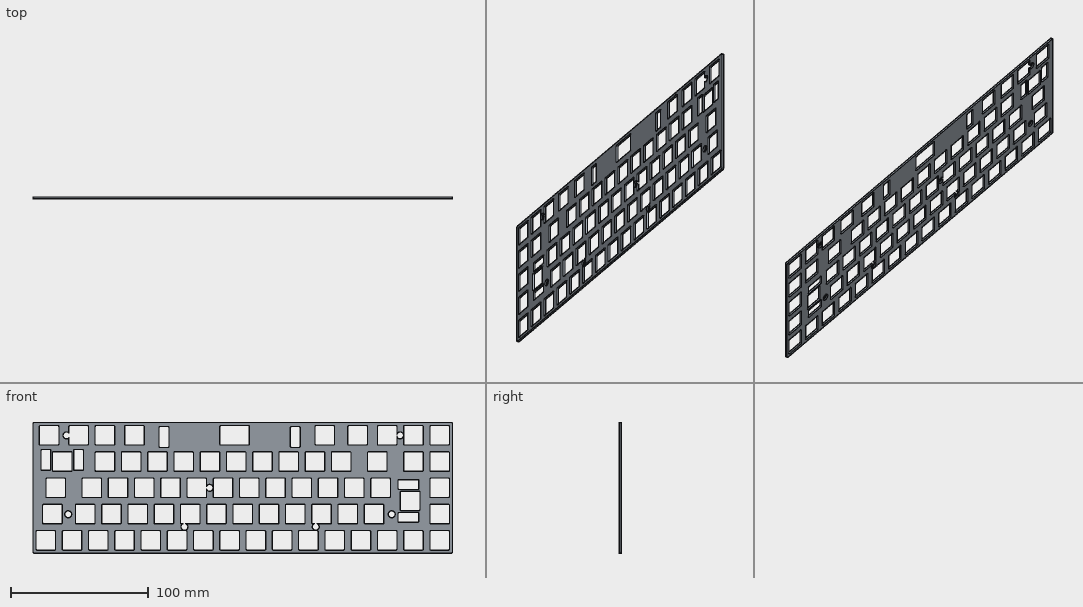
import cadquery as cq

PLATE_LENGTH = 304.5
PLATE_HEIGHT = 95.0
PLATE_THICKNESS = 1.5
PLATE_CORNER_RADIUS = 1.0

COLUMNS = 16
ROWS = 5
GRID_OVERHANG = 0.198
KEY_PITCH = (PLATE_LENGTH + 2 * GRID_OVERHANG) / COLUMNS

SWITCH_SIZE = 14.0
CUTOUT_CORNER_RADIUS = 0.5
STABILIZER_WIDTH = 7.0
STABILIZER_LENGTH = 15.0
STABILIZER_SHIFT = 1.2
MOUNT_HOLE_DIAMETER = 5.0

SHORT_STABILIZER_REACH = 12.0
SPACEBAR_STABILIZER_REACH = 2.5 * KEY_PITCH

BOTTOM_ROW, SECOND_ROW, THIRD_ROW, FOURTH_ROW, TOP_ROW = range(ROWS)
LAST_COLUMN = COLUMNS - 0.5
LEFT_SHIFT_COLUMN = 1.125
SPACEBAR_COLUMN = 7.5
SPACEBAR_ALTERNATE_COLUMN = 7.875
ENTER_COLUMN = 14.375
ENTER_ROW = (SECOND_ROW + THIRD_ROW) / 2


def key_run(first, count):
    """Columns of a run of neighbouring single-width keys."""
    return [first + step for step in range(count)]


KEY_COLUMNS = {
    BOTTOM_ROW: key_run(0.5, COLUMNS),
    SECOND_ROW: [0.75] + key_run(2, 12) + [LAST_COLUMN],
    THIRD_ROW: [0.875] + key_run(2.25, 12) + [LAST_COLUMN],
    FOURTH_ROW: [LEFT_SHIFT_COLUMN] + key_run(2.75, 10) + [13.125, LAST_COLUMN - 1, LAST_COLUMN],
    TOP_ROW: [0.625, 1.75, 2.75, 3.875, 11.125, 12.375] + key_run(13.5, 3),
}

MOUNT_HOLES = [
    (-126.5, -19.2),
    (108.0, -19.2),
    (-24.0, 0),
    (-42.3, -28.3),
    (53.0, -28.3),
    (-128.0, 38.0),
    (114.2, 38.0),
]


def key_x(column):
    return (column - COLUMNS / 2) * KEY_PITCH


def key_z(row):
    return (row - (ROWS - 1) / 2) * KEY_PITCH


def rounded_block(x, z, width, height, radius):
    """Block as thick as the plate, centred at (x, z), with rounded corners."""
    block = cq.Workplane("XY").box(width, PLATE_THICKNESS, height)
    return block.edges("|Y").fillet(radius).translate((x, 0, z))


def cutout(x, z, width, height):
    return rounded_block(x, z, width, height, CUTOUT_CORNER_RADIUS)


def switch_cutouts():
    cutters = [
        cutout(key_x(column), key_z(row), SWITCH_SIZE, SWITCH_SIZE)
        for row, columns in KEY_COLUMNS.items()
        for column in columns
    ]
    cutters.append(cutout(key_x(ENTER_COLUMN), key_z(ENTER_ROW), SWITCH_SIZE, SWITCH_SIZE))
    return cutters


def spacebar_cutout():
    """Two overlapping switch positions merged into one wide opening."""
    left = key_x(SPACEBAR_COLUMN)
    right = key_x(SPACEBAR_ALTERNATE_COLUMN)
    width = SWITCH_SIZE + right - left
    return cutout((left + right) / 2, key_z(TOP_ROW), width, SWITCH_SIZE)


def stabilizer_cutouts():
    cutters = []
    for side in (-1, 1):
        shift_x = key_x(LEFT_SHIFT_COLUMN) + side * SHORT_STABILIZER_REACH
        shift_z = key_z(FOURTH_ROW) + STABILIZER_SHIFT
        cutters.append(cutout(shift_x, shift_z, STABILIZER_WIDTH, STABILIZER_LENGTH))

        spacebar_x = key_x(SPACEBAR_COLUMN) + side * SPACEBAR_STABILIZER_REACH
        spacebar_z = key_z(TOP_ROW) - STABILIZER_SHIFT
        cutters.append(cutout(spacebar_x, spacebar_z, STABILIZER_WIDTH, STABILIZER_LENGTH))

        enter_x = key_x(ENTER_COLUMN) - STABILIZER_SHIFT
        enter_z = key_z(ENTER_ROW) + side * SHORT_STABILIZER_REACH
        cutters.append(cutout(enter_x, enter_z, STABILIZER_LENGTH, STABILIZER_WIDTH))
    return cutters


def mount_hole(x, z):
    pin = cq.Workplane("XZ").circle(MOUNT_HOLE_DIAMETER / 2).extrude(PLATE_THICKNESS / 2, both=True)
    return pin.translate((x, 0, z))


plate = rounded_block(0, 0, PLATE_LENGTH, PLATE_HEIGHT, PLATE_CORNER_RADIUS)
mount_holes = [mount_hole(x, z) for x, z in MOUNT_HOLES]
cutters = switch_cutouts() + [spacebar_cutout()] + stabilizer_cutouts() + mount_holes

cutter_solids = [cutter.val() for cutter in cutters]
result = cq.Workplane(obj=plate.val().cut(*cutter_solids)).solids()